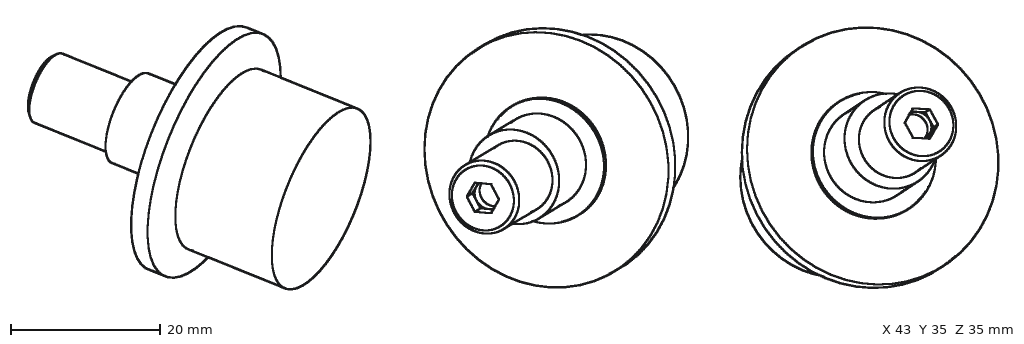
import cadquery as cq
import math

stud_end = 13.0
collar_end = 23.0
washer_end = 23.8
flange_end = 26.35
cone_end = 28.0
total_length = 43.0

stud_diameter = 10.0
collar_diameter = 13.0
washer_diameter = 17.1
flange_diameter = 35.0
roller_diameter = 25.97

collar_offset = 0.5
tip_chamfer = 0.55

socket_flats = 4.0
socket_depth = 2.15
bore_depth = 4.0
drill_point_angle = 120.0


def cylinder(start, end, diameter, offset_y=0):
    """Cylinder along X between two stations."""
    return (
        cq.Workplane("YZ", origin=(start, offset_y, 0))
        .circle(diameter / 2)
        .extrude(end - start)
    )


def make_roller():
    """Flanged roller revolved about X, with a conical back to the flange."""
    flange_radius = flange_diameter / 2
    roller_radius = roller_diameter / 2
    return (
        cq.Workplane("XY")
        .moveTo(washer_end, 0)
        .lineTo(washer_end, flange_radius)
        .lineTo(flange_end, flange_radius)
        .lineTo(cone_end, roller_radius)
        .lineTo(total_length, roller_radius)
        .lineTo(total_length, 0)
        .close()
        .revolve(360, (0, 0, 0), (1, 0, 0))
    )


def make_socket():
    """Hexagonal socket with corners along Y over a round bore with a conical floor."""
    corner_diameter = socket_flats / math.cos(math.pi / 6)
    bore_radius = socket_flats / 2
    point_depth = bore_radius / math.tan(math.radians(drill_point_angle / 2))
    hexagon = cq.Workplane("YZ").polygon(6, corner_diameter).extrude(socket_depth)
    bore = (
        cq.Workplane("XY")
        .moveTo(0, 0)
        .lineTo(0, bore_radius)
        .lineTo(bore_depth, bore_radius)
        .lineTo(bore_depth + point_depth, 0)
        .close()
        .revolve(360, (0, 0, 0), (1, 0, 0))
    )
    return hexagon.union(bore)


stud = cylinder(0, stud_end, stud_diameter).faces("<X").edges().chamfer(tip_chamfer)
collar = cylinder(stud_end, collar_end, collar_diameter, collar_offset)
washer = cylinder(collar_end, washer_end, washer_diameter)

result = stud.union(collar).union(washer).union(make_roller()).cut(make_socket())